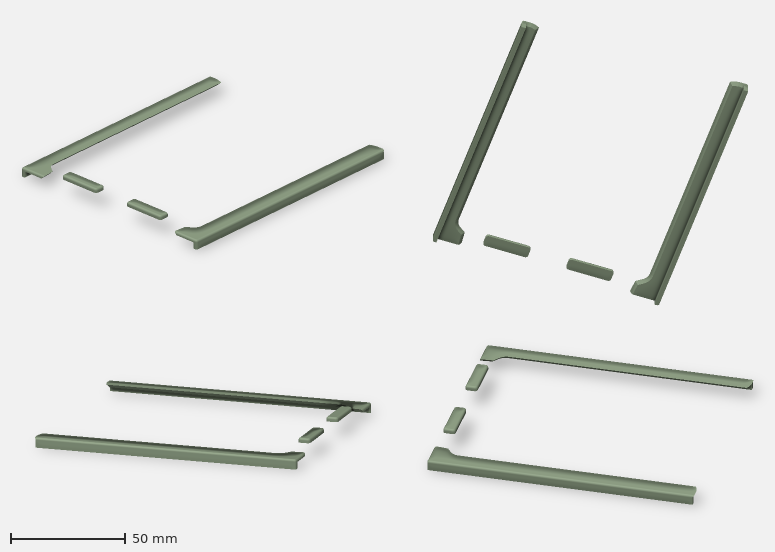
import cadquery as cq
import math

overall_width = 104.7
overall_length = 120.6
overall_height = 8.1
outer_x = -overall_width / 2
front_y = -overall_length / 2
back_y = overall_length / 2
bottom_z = -overall_height / 2
top_z = overall_height / 2

rail_height = 4.5
plate_thickness = 1.5
bevel_angle = 45.0
leg_width = 1.9
leg_back_gap = 0.6
rail_round = 1.0

plate_width = 8.2
foot_width = 13.5
foot_corner_width = 12.9
foot_corner_length = 6.3
foot_length = 9.6
foot_round_tangent = 2.4
back_flat_width = 4.6
back_round_drop = 1.2
back_round_radius = 14.5

pad_length = 20.6
pad_width = 5.4
pad_height = 2.0
pad_center_x = 19.2
pad_front_gap = 1.3
pad_corner_radius = 1.2
pad_top_round = 1.0

rail_top_z = bottom_z + rail_height


def rail_envelope():
    """Full-height block with the rounded outer, front and front corner edges of a rail."""
    block = cq.Workplane("XY").box(foot_width, overall_length, rail_height, centered=False)
    block = block.translate((outer_x, front_y, bottom_z))
    block = block.edges("|Z and <X and <Y").fillet(rail_round)
    return block.faces("<X or <Y").edges(">Z").fillet(rail_round)


def bevelled_plate():
    """Plate whose inner and back edges slope inward towards its underside.

    Its outer and front sides overrun by twice the plate thickness, so that the
    envelope trims them square.
    """
    overrun = 2 * plate_thickness
    foot_slope = (foot_width - foot_corner_width) / foot_corner_length
    shoulder_angle = math.atan2(foot_length - foot_corner_length, foot_corner_width - plate_width)
    foot_end_y = front_y + foot_length
    outline = (
        cq.Workplane("XY", origin=(outer_x, 0, rail_top_z))
        .moveTo(-overrun, front_y - overrun)
        .lineTo(foot_width + foot_slope * overrun, front_y - overrun)
        .lineTo(foot_corner_width, front_y + foot_corner_length)
        .lineTo(
            plate_width + foot_round_tangent * math.cos(shoulder_angle),
            foot_end_y - foot_round_tangent * math.sin(shoulder_angle),
        )
        .tangentArcPoint((plate_width, foot_end_y + foot_round_tangent), relative=False)
        .lineTo(plate_width, back_y - back_round_drop)
        .radiusArc((back_flat_width, back_y), -back_round_radius)
        .lineTo(-overrun, back_y)
        .close()
    )
    return outline.extrude(-plate_thickness, taper=bevel_angle)


def leg():
    """Straight wall below the plate along the outer edge."""
    length = overall_length - leg_back_gap
    wall = cq.Workplane("XY").box(leg_width, length, rail_height, centered=False)
    return wall.translate((outer_x, front_y, bottom_z))


def rail():
    """Left rail: plate and leg trimmed to the rounded envelope."""
    return bevelled_plate().union(leg()).intersect(rail_envelope())


def pad(center_x):
    """Bar with rounded corners and a rounded top rim."""
    center_y = front_y + pad_front_gap + pad_width / 2
    body = cq.Workplane("XY", origin=(center_x, center_y, top_z - pad_height))
    body = body.rect(pad_length, pad_width).extrude(pad_height)
    body = body.edges("|Z").fillet(pad_corner_radius)
    return body.faces(">Z").edges().fillet(pad_top_round)


left_rail = rail()
right_rail = left_rail.mirror("YZ")
pads = [pad(side * pad_center_x) for side in (-1, 1)]

result = cq.Compound.makeCompound(
    [left_rail.val(), right_rail.val(), *[bar.val() for bar in pads]]
)